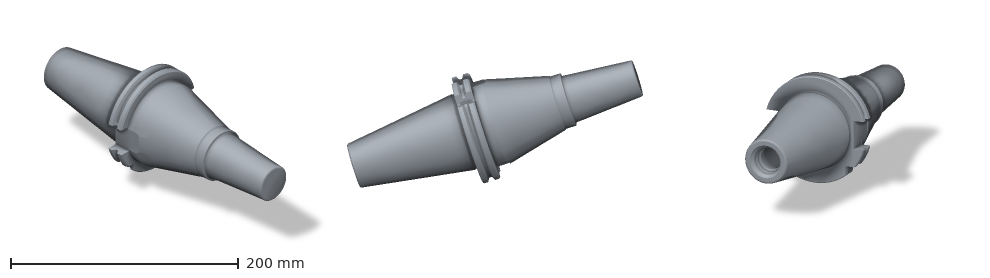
import cadquery as cq
import math

total_length = 261.5

taper_ratio = 7 / 24
gauge_radius = 69.8 / 2
gauge_x = 101.8
taper_end_x = 101.2
shank_round = 1.95
neck_radius = 34.3
neck_round = 1.5

flange_start = 105.0
flange_end = 120.9
flange_radius = 48.7
flange_front_chamfer = 0.65
flange_rear_chamfer = 1.3

groove_x = 112.5
groove_floor_radius = 45.3
groove_floor_width = 2.4
groove_half_angle = 30.0

body_radius = 39.2
body_end_x = 130.3
body_round = 0.8
cone_end_x = 187.8
cone_end_radius = 24.9
collar_radius = 24.0
collar_end_x = 198.0
collar_round = 0.5
nose_root_radius = 21.5
nose_root_round = 1.3
nose_tip_radius = 16.5
nose_tip_round = 1.5

slot_half_width = 26.0 / 2
near_floor = 75.0 / 2
far_floor = 35.3

near_tail_half_width = 21.2 / 2
near_tail_end_x = 133.5
near_tail_round = 2.4
far_flat_end_x = 132.5

notch_y = -29.5
notch_z = -29.5
notch_corner_round = 1.0

mouth_radius = 15.0
mouth_depth = 1.3
entry_radius = 14.0
entry_depth = 3.1
counterbore_radius = 12.5
counterbore_depth = 7.0
thread_radius = 11.8
thread_start_x = 8.6
thread_end_x = 11.0
bore_radius = 10.2
bore_start_x = 12.5
bore_depth = 41.9
drill_half_angle = 59.0

cutter_clearance = 2.5


def tangent(degrees):
    return math.tan(math.radians(degrees))


def revolved(points):
    """Solid of revolution about X from (x, radius) points; the axis closes the outline."""
    return cq.Workplane("XY").polyline(points).close().revolve(360, (0, 0, 0), (1, 0, 0))


def taper_radius(x):
    return gauge_radius - (gauge_x - x) * taper_ratio / 2


def round_ring(body, x, radius, size):
    """Fillet the circular edge of the given radius at position x on the axis."""
    tolerance = 0.03

    def matches(edge):
        return abs(edge.Center().x - x) < tolerance and abs(edge.radius() - radius) < tolerance

    ring = [edge for edge in body.edges("%CIRCLE").vals() if matches(edge)]
    return body.newObject(ring).fillet(size)


def turned_body():
    cone_step = cone_end_radius - collar_radius
    body = revolved([
        (0, 0),
        (0, taper_radius(0)),
        (taper_end_x, taper_radius(taper_end_x)),
        (taper_end_x, neck_radius),
        (flange_start, neck_radius),
        (flange_start, flange_radius - flange_front_chamfer),
        (flange_start + flange_front_chamfer, flange_radius),
        (flange_end - flange_rear_chamfer, flange_radius),
        (flange_end, flange_radius - flange_rear_chamfer),
        (flange_end, body_radius),
        (body_end_x, body_radius),
        (cone_end_x, cone_end_radius),
        (cone_end_x + cone_step, collar_radius),
        (collar_end_x, collar_radius),
        (collar_end_x, nose_root_radius),
        (total_length, nose_tip_radius),
        (total_length, 0),
    ])
    body = round_ring(body, 0, taper_radius(0), shank_round)
    body = round_ring(body, flange_start, neck_radius, neck_round)
    body = round_ring(body, flange_end, body_radius, body_round)
    body = round_ring(body, collar_end_x, collar_radius, collar_round)
    body = round_ring(body, collar_end_x, nose_root_radius, nose_root_round)
    return round_ring(body, total_length, nose_tip_radius, nose_tip_round)


def v_groove():
    clear_radius = flange_radius + cutter_clearance
    floor_half = groove_floor_width / 2
    mouth_half = floor_half + (clear_radius - groove_floor_radius) * tangent(groove_half_angle)
    outline = [
        (groove_x - mouth_half, clear_radius),
        (groove_x - floor_half, groove_floor_radius),
        (groove_x + floor_half, groove_floor_radius),
        (groove_x + mouth_half, clear_radius),
    ]
    return revolved(outline)


def side_cutter(floor, side, end_x, half_width):
    """Block from the flange front to end_x that cuts in to the floor; side is -1 for -Y, +1 for +Y."""
    depth = flange_radius - floor + cutter_clearance
    block = cq.Workplane("XY").box(end_x - flange_start, depth, 2 * half_width, centered=(False, True, True))
    return block.translate((flange_start, side * (floor + depth / 2), 0))


def near_slot():
    tail = side_cutter(near_floor, -1, near_tail_end_x, near_tail_half_width)
    tail = tail.edges("|Y and >X").fillet(near_tail_round)
    return tail.union(side_cutter(near_floor, -1, flange_end, slot_half_width))


def far_slot():
    """Slot through the flange, widened behind it into a flat across the whole body."""
    slot = side_cutter(far_floor, 1, flange_end, slot_half_width)
    flat = side_cutter(far_floor, 1, far_flat_end_x, body_radius)
    beside_flange = side_cutter(far_floor, 1, flange_end, body_radius)
    return slot.union(flat.cut(beside_flange))


def orientation_notch():
    size = flange_radius
    notch = cq.Workplane("XY").box(flange_end - flange_start, size, size, centered=False)
    notch = notch.translate((flange_start, notch_y - size, notch_z - size))
    return notch.edges("|X and >Y and >Z").fillet(notch_corner_round)


def draw_bolt_bore():
    tip_length = bore_radius / tangent(drill_half_angle)
    return revolved([
        (0, 0),
        (0, mouth_radius),
        (mouth_depth, entry_radius),
        (entry_depth, counterbore_radius),
        (counterbore_depth, counterbore_radius),
        (thread_start_x, thread_radius),
        (thread_end_x, thread_radius),
        (bore_start_x, bore_radius),
        (bore_depth, bore_radius),
        (bore_depth + tip_length, 0),
    ])


result = (
    turned_body()
    .cut(v_groove())
    .cut(near_slot())
    .cut(far_slot())
    .cut(orientation_notch())
    .cut(draw_bolt_bore())
)